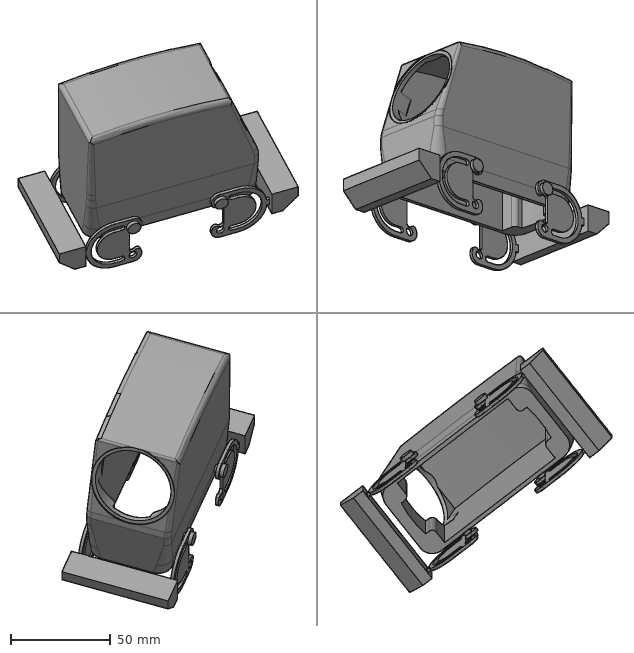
import cadquery as cq
import math


TRIM_REACH = 64.8

HOOD_HALF_LENGTH = 46.7
END_DRAFT = 0.013
HOOD_SECTIONS = [
    (0.0, 21.6, 0.0, 7.6, 7.6),
    (6.9, 22.1, 0.0, 6.5, 6.5),
    (23.5, 22.7, 0.0, 3.9, 3.2),
    (29.0, 22.7, 0.0, 3.6, 3.1),
    (32.8, 22.7, 0.9, 3.5, 2.8),
    (77.7, 22.7, 16.3, 1.7, 1.2),
]

ROOF_RADIUS = 272.0
ROOF_PEAK_Y = -4.5
ROOF_PEAK_Z = 75.6
ROOF_EDGE_RADIUS = 2.8
ROOF_REAR_RADIUS = 1.5

WALL = 3.2
CAVITY_HALF_WIDTH = 19.4
CAVITY_HALF_LENGTH = 35.4
CAVITY_CORNER_RADIUS = 2.6
POCKET_HALF_WIDTH = 10.0
POCKET_SIDE_LENGTH = 40.1
POCKET_END_LENGTH = 41.0

ENTRY_CENTER_Y = 38.2
ENTRY_RADIUS = 20.1
ENTRY_DEPTH = 10.4
SEAT_RADIUS = 22.0
SEAT_DEPTH = 0.6

LEVER_INNER_X = 23.8
LEVER_THICKNESS = 1.7
LEVER_MID_Z = -4.4
LEVER_RADIUS = 15.4
LEVER_ARC_Y = 33.5
LEVER_EDGE_Y = 25.5
SLOT_RADIUS = 11.1
SLOT_WIDTH = 3.2
SLOT_END_Y = 28.1
PIVOT_Y = 23.7
PIVOT_RADIUS = 2.1
HOOK_RADIUS = 4.9
NECK_GAP = 2.6
SHOULDER_GAP = 3.8
TIP_GAP = 3.6
TIP_OFFSET = 2.7
TIP_WIDTH = 3.0
TIP_CORNER_GAP = 3.1
HEAD_RADIUS = 3.5
HEAD_LENGTH = 2.1
PIN_ROOT_X = 20.7

BAR_LENGTH = 57.0
BAR_OUTER_Y = 64.8
BAR_INNER_Y = 50.4
BAR_TOP_Z = 4.0
BAR_HEIGHT = 14.2
BAR_BEVEL_Y = 8.4
BAR_BEVEL_Z = 7.9
TAB_HEIGHT = 3.9
TAB_OVERLAP = 1.3


def end_faces(section):
    """Height, front Y and rear Y of a hood section."""
    height, _, setback = section[:3]
    reach = HOOD_HALF_LENGTH - END_DRAFT * height
    return height, -reach, reach - setback


def hood_section(section):
    """Level rectangle with separate front and rear corner radii."""
    height, front, rear = end_faces(section)
    _, half_width, _, front_radius, rear_radius = section
    diagonal = 1 - math.sqrt(0.5)
    front_cut = front_radius * diagonal
    rear_cut = rear_radius * diagonal
    return (
        cq.Workplane("XY", origin=(0, 0, height))
        .moveTo(-half_width + front_radius, front)
        .lineTo(half_width - front_radius, front)
        .threePointArc((half_width - front_cut, front + front_cut), (half_width, front + front_radius))
        .lineTo(half_width, rear - rear_radius)
        .threePointArc((half_width - rear_cut, rear - rear_cut), (half_width - rear_radius, rear))
        .lineTo(-half_width + rear_radius, rear)
        .threePointArc((-half_width + rear_cut, rear - rear_cut), (-half_width, rear - rear_radius))
        .lineTo(-half_width, front + front_radius)
        .threePointArc((-half_width + front_cut, front + front_cut), (-half_width + front_radius, front))
        .close()
        .val()
    )


def end_profile(wall):
    """Block bounded by the hood's front face, roof and slanted rear, each moved inward by wall."""
    shoulder, front_low, rear_low = end_faces(HOOD_SECTIONS[-2])
    head, front_high, rear_high = end_faces(HOOD_SECTIONS[-1])
    ends = (
        cq.Workplane("YZ", origin=(-TRIM_REACH, 0, 0))
        .moveTo(-TRIM_REACH, 0)
        .lineTo(-TRIM_REACH, shoulder)
        .lineTo(front_low + wall, shoulder)
        .lineTo(front_high + wall, head)
        .lineTo(rear_high - wall, head)
        .lineTo(rear_low - wall, shoulder)
        .lineTo(TRIM_REACH, shoulder)
        .lineTo(TRIM_REACH, 0)
        .close()
        .extrude(2 * TRIM_REACH)
    )
    return ends.intersect(roof_block(TRIM_REACH, wall))


def roof_block(half_width, wall):
    """Block under the arched roof, with the roof lowered by wall."""
    peak = ROOF_PEAK_Z - wall
    low = peak - ROOF_RADIUS + math.sqrt(ROOF_RADIUS**2 - TRIM_REACH**2)
    return (
        cq.Workplane("YZ", origin=(-half_width, ROOF_PEAK_Y, 0))
        .moveTo(-TRIM_REACH, 0)
        .lineTo(-TRIM_REACH, low)
        .threePointArc((0, peak), (TRIM_REACH, low))
        .lineTo(TRIM_REACH, 0)
        .close()
        .extrude(2 * half_width)
    )


def hood_body():
    """Solid hood with rounded roof edges."""
    wires = [hood_section(section) for section in HOOD_SECTIONS]
    body = cq.Workplane(cq.Solid.makeLoft(wires, True))

    profile = end_profile(0)
    roof_ends = profile.faces(">Z").edges("|X")
    profile = profile.newObject([roof_ends.edges("<Y").val()]).fillet(ROOF_EDGE_RADIUS)
    rear_end = profile.faces(">Z").edges("|X").edges(">Y").val()
    profile = profile.newObject([rear_end]).fillet(ROOF_REAR_RADIUS)

    half_width = HOOD_SECTIONS[-1][1]
    sides = roof_block(half_width, 0).faces(">Z").edges("<X or >X").fillet(ROOF_EDGE_RADIUS)
    return body.intersect(profile).intersect(sides)


def cavity():
    """Hollow with full-width middle and a narrower pocket at each end."""
    height = ROOF_PEAK_Z
    middle = cq.Workplane("XY").rect(2 * CAVITY_HALF_WIDTH, 2 * CAVITY_HALF_LENGTH).extrude(height)
    pockets = (
        cq.Workplane("XY")
        .moveTo(-POCKET_HALF_WIDTH, -POCKET_SIDE_LENGTH)
        .threePointArc((0, -POCKET_END_LENGTH), (POCKET_HALF_WIDTH, -POCKET_SIDE_LENGTH))
        .lineTo(POCKET_HALF_WIDTH, POCKET_SIDE_LENGTH)
        .threePointArc((0, POCKET_END_LENGTH), (-POCKET_HALF_WIDTH, POCKET_SIDE_LENGTH))
        .close()
        .extrude(height)
    )
    plan = middle.union(pockets)
    between_x = (POCKET_HALF_WIDTH + CAVITY_HALF_WIDTH) / 2
    between_y = (CAVITY_HALF_LENGTH + POCKET_SIDE_LENGTH) / 2
    inner_corners = cq.selectors.BoxSelector(
        (-between_x, -between_y, 0),
        (between_x, between_y, height),
    )
    plan = plan.edges("|Z").edges(inner_corners).fillet(CAVITY_CORNER_RADIUS)
    return plan.intersect(end_profile(WALL))


def entry_hole():
    """Shallow round seat with a through bore, sunk square into the slanted rear face."""
    low_z, _, low_y = end_faces(HOOD_SECTIONS[-2])
    high_z, _, high_y = end_faces(HOOD_SECTIONS[-1])
    rise = high_z - low_z
    setback = low_y - high_y
    center_z = low_z + (low_y - ENTRY_CENTER_Y) * rise / setback
    face = cq.Workplane(cq.Plane((0, ENTRY_CENTER_Y, center_z), (1, 0, 0), (0, rise, setback)))
    bore = face.circle(ENTRY_RADIUS).extrude(-ENTRY_DEPTH)
    seat = face.workplane(offset=-SEAT_DEPTH).circle(SEAT_RADIUS).extrude(2 * SEAT_DEPTH)
    return bore.union(seat)


def hook_half():
    """Upper half of the lever plate on its own middle line, ending in a hook around the pivot."""
    pivot_z = LEVER_RADIUS - HOOK_RADIUS
    arc_mid = LEVER_RADIUS * math.sqrt(0.5)
    tip_z = pivot_z - TIP_CORNER_GAP
    tip_inner_y = PIVOT_Y - TIP_OFFSET + TIP_WIDTH / 2
    tip_outer_y = PIVOT_Y - math.sqrt(HOOK_RADIUS**2 - TIP_CORNER_GAP**2)
    return (
        cq.Workplane("YZ")
        .moveTo(LEVER_ARC_Y + LEVER_RADIUS, 0)
        .threePointArc((LEVER_ARC_Y + arc_mid, arc_mid), (LEVER_ARC_Y, LEVER_RADIUS))
        .lineTo(PIVOT_Y, LEVER_RADIUS)
        .threePointArc((PIVOT_Y - HOOK_RADIUS, pivot_z), (tip_outer_y, tip_z))
        .threePointArc((PIVOT_Y - TIP_OFFSET, pivot_z - TIP_GAP), (tip_inner_y, tip_z))
        .threePointArc((PIVOT_Y, pivot_z - NECK_GAP), (LEVER_EDGE_Y, pivot_z - SHOULDER_GAP))
        .lineTo(LEVER_EDGE_Y, 0)
        .close()
        .extrude(LEVER_THICKNESS)
    )


def slot():
    """C-shaped slot with round ends, following the round side of the lever."""
    outer = SLOT_RADIUS + SLOT_WIDTH / 2
    inner = SLOT_RADIUS - SLOT_WIDTH / 2
    end_y = SLOT_END_Y + SLOT_WIDTH / 2
    return (
        cq.Workplane("YZ")
        .moveTo(end_y, outer)
        .lineTo(LEVER_ARC_Y, outer)
        .threePointArc((LEVER_ARC_Y + outer, 0), (LEVER_ARC_Y, -outer))
        .lineTo(end_y, -outer)
        .threePointArc((SLOT_END_Y, -SLOT_RADIUS), (end_y, -inner))
        .lineTo(LEVER_ARC_Y, -inner)
        .threePointArc((LEVER_ARC_Y + inner, 0), (LEVER_ARC_Y, inner))
        .lineTo(end_y, inner)
        .threePointArc((SLOT_END_Y, SLOT_RADIUS), (end_y, outer))
        .close()
        .extrude(LEVER_THICKNESS)
    )


def lever_side():
    """One lever plate at the rear right, with its pivot pin, pin head and tab to the grip bar."""
    pivot_z = LEVER_RADIUS - HOOK_RADIUS
    half = hook_half()
    plate = half.union(half.mirror("XY")).cut(slot())

    lower_hole = cq.Workplane("YZ").center(PIVOT_Y, -pivot_z).circle(PIVOT_RADIUS).extrude(LEVER_THICKNESS)
    tab_start = LEVER_ARC_Y + LEVER_RADIUS - TAB_OVERLAP
    tab = cq.Workplane("XY").box(
        LEVER_THICKNESS, BAR_INNER_Y - tab_start, TAB_HEIGHT, centered=(False, False, True)
    )
    plate = plate.cut(lower_hole).union(tab.translate((0, tab_start, 0)))

    pin_root = PIN_ROOT_X - LEVER_INNER_X
    pin = cq.Workplane("YZ", origin=(pin_root, PIVOT_Y, pivot_z)).circle(PIVOT_RADIUS)
    head = cq.Workplane("YZ", origin=(LEVER_THICKNESS, PIVOT_Y, pivot_z)).circle(HEAD_RADIUS)
    plate = plate.union(pin.extrude(LEVER_THICKNESS - pin_root)).union(head.extrude(HEAD_LENGTH))
    return plate.translate((LEVER_INNER_X, 0, LEVER_MID_Z))


def grip_bar():
    """Rear grip bar with its lower outer edge cut away at a slant."""
    bottom_z = BAR_TOP_Z - BAR_HEIGHT
    return (
        cq.Workplane("YZ", origin=(-BAR_LENGTH / 2, 0, 0))
        .moveTo(BAR_INNER_Y, BAR_TOP_Z)
        .lineTo(BAR_OUTER_Y, BAR_TOP_Z)
        .lineTo(BAR_OUTER_Y, bottom_z + BAR_BEVEL_Z)
        .lineTo(BAR_OUTER_Y - BAR_BEVEL_Y, bottom_z)
        .lineTo(BAR_INNER_Y, bottom_z)
        .close()
        .extrude(BAR_LENGTH)
    )


def locking_lever():
    """Complete rear lever: two plates joined by the grip bar."""
    side = lever_side()
    return grip_bar().union(side).union(side.mirror("YZ"))


hood = hood_body().cut(cavity()).cut(entry_hole())
rear_lever = locking_lever()
front_lever = rear_lever.mirror("XZ")
result = hood.union(rear_lever).union(front_lever)